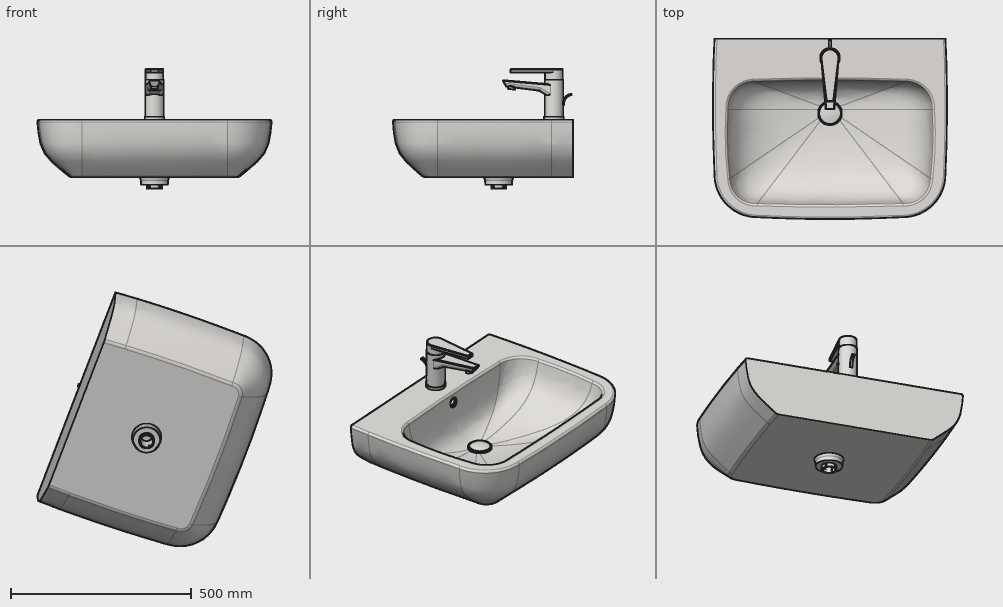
import cadquery as cq
import math


BASIN_WIDTH = 649.0
BASIN_DEPTH = 500.0
BASIN_HEIGHT = 159.5
BACK_HALF_WIDTH = 320.0
SIDE_BACK = (322.5, -61.0)
WIDEST_Y = -201.0
CORNER_SIDE = (320.0, -376.0)
CORNER_FRONT = (201.0, -494.5)
EDGE_ROUND = 6.5
BOTTOM_EDGE_ROUND = 16.0
SHELL_PROFILE = [
    (0.0, 0.0),
    (10.0, 0.0),
    (58.5, 6.5),
    (87.5, 17.0),
    (112.0, 36.0),
    (136.0, 63.0),
    (BASIN_HEIGHT, 91.5),
]
FRONT_INSET_SHARE = 0.93

BOWL_BACK_Y = -113.5
BOWL_FRONT_Y = -460.0
BOWL_SIDE = (285.5, -285.5)
BOWL_BACK_CORNER = [(211.5, -117.5), (262.0, -139.0), (283.5, -195.0)]
BOWL_FRONT_CORNER = [(278.5, -387.0), (257.5, -436.0), (202.5, -457.0)]
BOWL_FLOOR = 145.5
BOWL_MOUTH_REACH = 298.5
BOWL_PROFILE = [(0.0, 0.0), (0.04, 39.0), (0.15, 84.5), (0.35, 117.0), (0.6, 134.0), (1.0, BOWL_FLOOR)]
BACK_CORNER_ANGLES = (36, 20)
FRONT_CORNER_ANGLES = (-20, -36)

OVERFLOW_Z = -33.0
OVERFLOW_DIAMETER = 28.5
OVERFLOW_BORE = 20.0
OVERFLOW_STEP_Y = -110.0
OVERFLOW_END_Y = -91.0

DRAIN_Y = -206.5
DRAIN_FLANGE_DIAMETER = 66.0
DRAIN_FLANGE_HEIGHT = 3.0
DRAIN_PIPE_DIAMETER = 42.0
DRAIN_BORE = 35.0
DRAIN_BOTTOM = 191.5
COLLAR_BOTTOM = 180.5
COLLAR_SHOULDER = 167.5
COLLAR_TOP_DIAMETER = 82.0
COLLAR_SHOULDER_DIAMETER = 76.5
COLLAR_BOTTOM_DIAMETER = 74.5
PIPE_SLOT_WIDTH = 3.0
PIPE_SLOT_HEIGHT = 5.0
PLUG_DIAMETER = 60.0
PLUG_EDGE = 2.5
PLUG_DOME = 3.0

TAP_Y = -53.0
TAP_RING_DIAMETER = 55.0
TAP_RING_HEIGHT = 8.5
TAP_DIAMETER = 52.0
TAP_TOP = 111.0

LEVER_CAP_DIAMETER = 50.0
LEVER_TOP = 140.0
LEVER_THICKNESS = 11.0
LEVER_TIP_Y = -174.0
LEVER_TIP_WIDTH = 21.0
LEVER_BEVEL = 2.0

SPOUT_ROOT_Y = -62.0
SPOUT_ROOT_WIDTH = 48.0
SPOUT_TIP_WIDTH = 24.5
SPOUT_TIP = (-196.0, 109.5)
SPOUT_TIP_LOW = (-185.5, 91.5)
SPOUT_ELBOW = (-95.0, 80.0)
SPOUT_ROOT_LOW = (-71.5, 66.0)
SPOUT_ROOT_TOP_Z = 98.0
SPOUT_BEVEL = 2.5
SPOUT_UNDER_ROUND = 10.0

AERATOR_DIAMETER = 20.0
AERATOR_Y = -170.0
AERATOR_PROJECTION = 6.0
AERATOR_RECESS = 3.0

ROD_WIDTH = 7.0
ROD_THICKNESS = 4.0
ROD_CURVE = [(-6.5, 69.5), (-19.5, 62.0), (-26.5, 42.0)]


def mirrored(point):
    return (-point[0], point[1])


def shell_outline(inset, z):
    """Outline of the outer shell: straight back, bowed sides and front, round front corners."""
    side_x, side_y = CORNER_SIDE[0] - inset, CORNER_SIDE[1]
    front_inset = inset * FRONT_INSET_SHARE
    front_x, front_y = CORNER_FRONT[0], CORNER_FRONT[1] + front_inset
    diagonal = math.sqrt(0.5)
    corner_mid = (front_x + (side_x - front_x) * diagonal, side_y + (front_y - side_y) * diagonal)
    back = (BACK_HALF_WIDTH - inset, 0)
    side_back = (SIDE_BACK[0] - inset, SIDE_BACK[1])
    side_mid = (BASIN_WIDTH / 2 - inset, WIDEST_Y)
    side, front = (side_x, side_y), (front_x, front_y)
    front_mid = (0, -BASIN_DEPTH + front_inset)
    return (
        cq.Workplane("XY", origin=(0, 0, z))
        .moveTo(*back)
        .lineTo(*side_back)
        .threePointArc(side_mid, side)
        .threePointArc(corner_mid, front)
        .threePointArc(front_mid, mirrored(front))
        .threePointArc(mirrored(corner_mid), mirrored(side))
        .threePointArc(mirrored(side_mid), mirrored(side_back))
        .lineTo(*mirrored(back))
        .close()
        .val()
    )


def make_shell():
    """Solid block of the basin, with its outer top and bottom edges rounded."""
    wires = [shell_outline(inset, -drop) for drop, inset in SHELL_PROFILE]
    shell = cq.Workplane(cq.Solid.makeLoft(wires))
    shell = shell.faces(">Z").edges("not >Y").fillet(EDGE_ROUND)
    return shell.faces("<Z").edges("not >Y").fillet(BOTTOM_EDGE_ROUND)


def on_drain(angle):
    """Point on the edge of the drain flange, in the direction of the given angle."""
    radius = DRAIN_FLANGE_DIAMETER / 2
    return (radius * math.cos(math.radians(angle)), DRAIN_Y + radius * math.sin(math.radians(angle)))


def bowl_outline(share, z):
    """Outline of the bowl, the given share of the way from its rim to the drain."""

    def blend(rim, angle):
        drain = on_drain(angle)
        return tuple(r + (d - r) * share for r, d in zip(rim, drain))

    def corner(rim_points, angles):
        start, end = angles
        return [blend(p, a) for p, a in zip(rim_points, (start, (start + end) / 2, end))]

    back_mid = blend((0, BOWL_BACK_Y), 90)
    front_mid = blend((0, BOWL_FRONT_Y), -90)
    back = corner(BOWL_BACK_CORNER, BACK_CORNER_ANGLES)
    front = corner(BOWL_FRONT_CORNER, FRONT_CORNER_ANGLES)
    side_mid = blend(BOWL_SIDE, (BACK_CORNER_ANGLES[1] + FRONT_CORNER_ANGLES[0]) / 2)
    return (
        cq.Workplane("XY", origin=(0, 0, z))
        .moveTo(*back[0])
        .threePointArc(back[1], back[2])
        .threePointArc(side_mid, front[0])
        .threePointArc(front[1], front[2])
        .threePointArc(front_mid, mirrored(front[2]))
        .threePointArc(mirrored(front[1]), mirrored(front[0]))
        .threePointArc(mirrored(side_mid), mirrored(back[2]))
        .threePointArc(mirrored(back[1]), mirrored(back[0]))
        .threePointArc(back_mid, back[0])
        .close()
        .val()
    )


def cut_bowl(basin):
    wires = [bowl_outline(share, -drop) for share, drop in BOWL_PROFILE]
    basin = basin.cut(cq.Workplane(cq.Solid.makeLoft(wires)))
    mouth = cq.selectors.BoxSelector(
        (-BOWL_MOUTH_REACH, BOWL_FRONT_Y - EDGE_ROUND, -EDGE_ROUND / 2),
        (BOWL_MOUTH_REACH, BOWL_BACK_Y + EDGE_ROUND, EDGE_ROUND / 2),
        boundingbox=True,
    )
    return basin.edges(mouth).fillet(EDGE_ROUND)


def cylinder(diameter, bottom, top, y=0):
    return cq.Workplane("XY", origin=(0, y, bottom)).circle(diameter / 2).extrude(top - bottom)


def cut_overflow(basin):
    """Horizontal stepped hole running back into the wall of the bowl."""
    bowl_middle = cq.Workplane("XZ", origin=(0, DRAIN_Y, OVERFLOW_Z))
    mouth = bowl_middle.circle(OVERFLOW_DIAMETER / 2).extrude(DRAIN_Y - OVERFLOW_STEP_Y)
    bore = bowl_middle.circle(OVERFLOW_BORE / 2).extrude(DRAIN_Y - OVERFLOW_END_Y)
    return basin.cut(mouth).cut(bore)


def make_basin():
    basin = cut_overflow(cut_bowl(make_shell()))
    return basin.cut(cylinder(DRAIN_PIPE_DIAMETER, -BASIN_HEIGHT, -BOWL_FLOOR, DRAIN_Y))


def make_drain():
    """Flange on the bowl floor, pipe through it and collar under the basin, with a bore."""
    pipe = DRAIN_PIPE_DIAMETER / 2
    flange = DRAIN_FLANGE_DIAMETER / 2
    flange_top = -BOWL_FLOOR + DRAIN_FLANGE_HEIGHT
    half_section = [
        (DRAIN_BORE / 2, flange_top),
        (flange, flange_top),
        (flange, -BOWL_FLOOR),
        (pipe, -BOWL_FLOOR),
        (pipe, -BASIN_HEIGHT),
        (COLLAR_TOP_DIAMETER / 2, -BASIN_HEIGHT),
        (COLLAR_SHOULDER_DIAMETER / 2, -COLLAR_SHOULDER),
        (COLLAR_BOTTOM_DIAMETER / 2, -COLLAR_BOTTOM),
        (pipe, -COLLAR_BOTTOM),
        (pipe, -DRAIN_BOTTOM),
        (DRAIN_BORE / 2, -DRAIN_BOTTOM),
    ]
    drain = cq.Workplane("XZ").polyline(half_section).close().revolve(360, (0, 0), (0, 1))
    slot_z = -COLLAR_BOTTOM - PIPE_SLOT_HEIGHT / 2
    for angle in (45, 135):
        slot = cq.Workplane("XY").box(2 * DRAIN_PIPE_DIAMETER, PIPE_SLOT_WIDTH, PIPE_SLOT_HEIGHT)
        drain = drain.cut(slot.rotate((0, 0, 0), (0, 0, 1), angle).translate((0, 0, slot_z)))
    return drain.translate((0, DRAIN_Y, 0))


def make_plug():
    """Domed disc resting on the drain flange."""
    radius = PLUG_DIAMETER / 2
    dome_radius = (radius**2 + PLUG_DOME**2) / (2 * PLUG_DOME)
    mid_x = radius / 2
    mid_z = PLUG_EDGE + PLUG_DOME - dome_radius + math.sqrt(dome_radius**2 - mid_x**2)
    plug = (
        cq.Workplane("XZ")
        .lineTo(radius, 0)
        .lineTo(radius, PLUG_EDGE)
        .threePointArc((mid_x, mid_z), (0, PLUG_EDGE + PLUG_DOME))
        .close()
        .revolve(360, (0, 0), (0, 1))
    )
    return plug.translate((0, DRAIN_Y, DRAIN_FLANGE_HEIGHT - BOWL_FLOOR))


def tapered_plate(root_y, root_width, tip_y, tip_width, bottom, top):
    """Upright-sided plate narrowing from its root to its tip."""
    corners = [
        (root_width / 2, root_y),
        (tip_width / 2, tip_y),
        (-tip_width / 2, tip_y),
        (-root_width / 2, root_y),
    ]
    return cq.Workplane("XY", origin=(0, 0, bottom)).polyline(corners).close().extrude(top - bottom)


def make_spout():
    """Tapering spout: its side outline, narrowed to its outline from above."""
    side = (
        cq.Workplane("YZ")
        .moveTo(SPOUT_ROOT_Y, SPOUT_ROOT_TOP_Z)
        .lineTo(*SPOUT_TIP)
        .lineTo(*SPOUT_TIP_LOW)
        .lineTo(*SPOUT_ELBOW)
        .lineTo(*SPOUT_ROOT_LOW)
        .lineTo(SPOUT_ROOT_Y, SPOUT_ROOT_LOW[1])
        .close()
        .extrude(TAP_DIAMETER, both=True)
    )
    plan = tapered_plate(
        SPOUT_ROOT_Y, SPOUT_ROOT_WIDTH, SPOUT_TIP[0], SPOUT_TIP_WIDTH, 0, LEVER_TOP
    )
    spout = side.intersect(plan)
    spout = spout.faces(">Z").edges("not >Y").chamfer(SPOUT_BEVEL)
    reach = SPOUT_ROOT_WIDTH / 2
    lower = cq.selectors.BoxSelector(
        (-reach, SPOUT_TIP_LOW[0], SPOUT_ROOT_LOW[1]),
        (reach, SPOUT_ROOT_LOW[0], SPOUT_TIP_LOW[1]),
    )
    return spout.edges(lower).edges("not |X").fillet(SPOUT_UNDER_ROUND)


def make_aerator():
    """Short cylinder square to the sloping underside of the spout."""
    run = SPOUT_TIP_LOW[0] - SPOUT_ELBOW[0]
    rise = SPOUT_TIP_LOW[1] - SPOUT_ELBOW[1]
    slope = rise / run
    underside = SPOUT_ELBOW[1] + slope * (AERATOR_Y - SPOUT_ELBOW[0])
    upright = cylinder(AERATOR_DIAMETER, -AERATOR_PROJECTION, AERATOR_RECESS)
    tilted = upright.rotate((0, 0, 0), (1, 0, 0), math.degrees(math.atan(slope)))
    return tilted.translate((0, AERATOR_Y, underside))


def make_pull_rod():
    """Flat strip curving up and back from the rear of the tap."""
    tip, middle, foot = ROD_CURVE
    curve = cq.Workplane("YZ").moveTo(*foot).threePointArc(middle, tip)
    strip = curve.offset2D(ROD_THICKNESS / 2)
    return strip.extrude(ROD_WIDTH / 2, both=True)


def make_tap_ring():
    return cylinder(TAP_RING_DIAMETER, 0, TAP_RING_HEIGHT, TAP_Y)


def make_tap(aerator, pull_rod):
    """Tap body with its spout, recessed for the aerator and the pull rod."""
    body = cylinder(TAP_DIAMETER, TAP_RING_HEIGHT, TAP_TOP, TAP_Y)
    return body.union(make_spout()).cut(aerator).cut(pull_rod)


def make_lever():
    """Round cap on the tap, under a bevelled plate that tapers into the handle."""
    radius = LEVER_CAP_DIAMETER / 2
    plate_bottom = LEVER_TOP - LEVER_THICKNESS
    taper = math.asin((radius - LEVER_TIP_WIDTH / 2) / (TAP_Y - LEVER_TIP_Y))
    tangent_point = (radius * math.cos(taper), TAP_Y - radius * math.sin(taper))
    tip_corner = (LEVER_TIP_WIDTH / 2 / math.cos(taper), LEVER_TIP_Y)
    plate = (
        cq.Workplane("XY", origin=(0, 0, plate_bottom))
        .moveTo(*tangent_point)
        .threePointArc((0, TAP_Y + radius), mirrored(tangent_point))
        .lineTo(*mirrored(tip_corner))
        .lineTo(*tip_corner)
        .close()
        .extrude(LEVER_THICKNESS)
    )
    plate = plate.faces("|Z").edges().chamfer(LEVER_BEVEL)
    cap = cylinder(LEVER_CAP_DIAMETER, TAP_TOP, LEVER_TOP - LEVER_BEVEL, TAP_Y)
    return cap.union(plate)


basin = make_basin()
drain = make_drain()
plug = make_plug()
tap_ring = make_tap_ring()
aerator = make_aerator()
pull_rod = make_pull_rod()
tap = make_tap(aerator, pull_rod)
lever = make_lever()

result = cq.Compound.makeCompound(
    [
        basin.val(),
        drain.val(),
        plug.val(),
        tap_ring.val(),
        tap.val(),
        aerator.val(),
        pull_rod.val(),
        lever.val(),
    ]
)